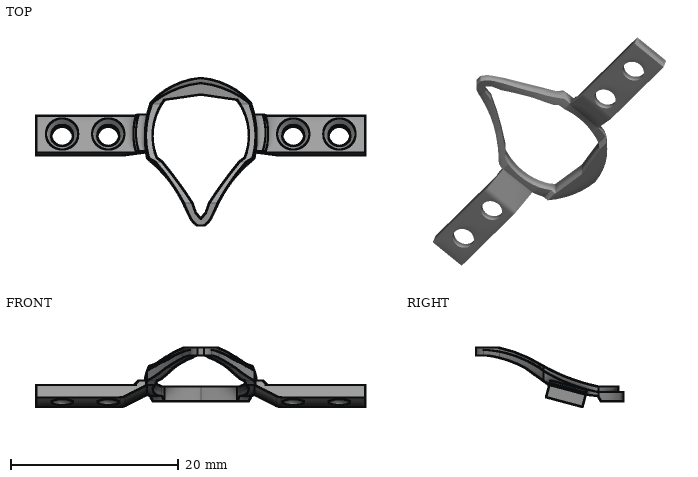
import cadquery as cq

LENGTH = 39.42
NOSE_Y = -17.7
TOP_Z = 7.15

BACK_CORNER_Y = -3.0
INNER_MID_Y = -6.7
WALL_MID_Y = -7.1
FRONT_CORNER_Y = -9.6
TAPER_END_Y = -14.85
OUTER_HALF_WIDTH = 6.7
INNER_HALF_WIDTH = 5.75
INSET_HALF_WIDTH = 6.55

BACK_BOTTOM_Z = 0.67
BACK_LEDGE_Z = 1.8
BACK_TOP_Z = 2.5
BACK_FLAT_Y = -3.15
NOSE_BOTTOM_Z = 6.15
NOSE_LEDGE_Z = 6.85
NOSE_LEDGE_Y = -17.03

ARM_TILT = 15.0
ARM_WIDTH = 4.55
ARM_THICKNESS = 1.55
ARM_BACK_Y = -4.93
ARM_ROOT_X = 6.1
ARM_BEND_X = 9.35
ARM_ROOT_RISE = 1.7
ARM_BEND_RADIUS = 1.2
ARM_MID_Y = -ARM_WIDTH / 2
PAD_HEIGHT = 0.55
PAD_RISER_HEIGHT = 0.25
PAD_BASE_RADIUS = 8.1
PAD_TOP_RADIUS = 7.75

HOLE_DIAMETER = 2.6
SINK_DIAMETER = 3.85
SINK_ANGLE = 90.0
HOLE_INNER_X = 11.08
HOLE_PITCH = 5.5
HOLES_PER_ARM = 2


def mirrored(half):
    """Union of a right-hand half and its mirror image."""
    return half.union(half.mirror("YZ"))


def half_plan(outline):
    """Right half of a plan outline, extruded to the full height of the part."""
    return outline.close().extrude(TOP_Z)


def nose_end(outline):
    """Outer outline around the blunt nose, shared by both tiers."""
    return outline.lineTo(1.25, -16.75).threePointArc((0.9, -17.25), (0.4, NOSE_Y)).lineTo(0, NOSE_Y)


def lower_tier_plan():
    """Full outer outline of the ring."""
    outline = (
        cq.Workplane("XY")
        .threePointArc((3.25, -0.9), (6.0, BACK_CORNER_Y))
        .threePointArc((OUTER_HALF_WIDTH, WALL_MID_Y), (6.43, FRONT_CORNER_Y))
        .threePointArc((4.0, -12.02), (2.15, TAPER_END_Y))
    )
    return mirrored(half_plan(nose_end(outline)))


def upper_tier_plan():
    """Outline set back from the lower tier, which leaves a ledge around the ring."""
    outline = (
        cq.Workplane("XY")
        .moveTo(0, -0.65)
        .threePointArc((3.25, -1.45), (5.8, BACK_CORNER_Y))
        .threePointArc((INSET_HALF_WIDTH, WALL_MID_Y), (6.2, FRONT_CORNER_Y))
        .lineTo(5.45, -10.05)
        .threePointArc((3.45, -12.6), (2.1, TAPER_END_Y))
    )
    return mirrored(half_plan(nose_end(outline)))


def opening():
    """Drop-shaped opening through the ring."""
    outline = (
        cq.Workplane("XY")
        .moveTo(0, -2.0)
        .lineTo(4.35, -2.65)
        .lineTo(4.7, -3.15)
        .threePointArc((INNER_HALF_WIDTH, INNER_MID_Y), (5.25, -9.58))
        .lineTo(4.7, -9.97)
        .threePointArc((2.8, -12.38), (1.0, -15.0))
        .lineTo(0.6, -16.15)
        .lineTo(0, -16.87)
    )
    return mirrored(half_plan(outline))


def close_along_underside(profile):
    """Close a side profile along the lower edge of the ring and extrude it across the part."""
    return (
        profile.lineTo(NOSE_Y, NOSE_BOTTOM_Z)
        .lineTo(-16.3, NOSE_BOTTOM_Z)
        .threePointArc((-14.0, 5.65), (-11.85, 4.75))
        .lineTo(-9.7, 3.2)
        .lineTo(-8.95, 2.65)
        .lineTo(-4.4, 1.45)
        .lineTo(-3.07, 1.3)
        .lineTo(-2.72, BACK_BOTTOM_Z)
        .lineTo(0, BACK_BOTTOM_Z)
        .close()
        .extrude(LENGTH / 2, both=True)
    )


def full_height_band():
    """S-curved side profile from the underside to the top of the ring."""
    profile = (
        cq.Workplane("YZ")
        .moveTo(0, BACK_BOTTOM_Z)
        .lineTo(0, BACK_TOP_Z)
        .lineTo(BACK_FLAT_Y, BACK_TOP_Z)
        .threePointArc((-6.5, 3.45), (-10.05, 5.15))
        .threePointArc((-12.22, 6.25), (-14.98, TOP_Z))
        .lineTo(NOSE_Y, TOP_Z)
    )
    return close_along_underside(profile)


def ledge_height_band():
    """S-curved side profile from the underside to the ledge; full height at the nose."""
    profile = (
        cq.Workplane("YZ")
        .moveTo(0, BACK_BOTTOM_Z)
        .lineTo(0, BACK_LEDGE_Z)
        .lineTo(BACK_FLAT_Y, BACK_LEDGE_Z)
        .threePointArc((-6.5, 2.8), (-9.45, 4.25))
        .threePointArc((-12.6, 6.0), (NOSE_LEDGE_Y, NOSE_LEDGE_Z))
        .lineTo(NOSE_LEDGE_Y, TOP_Z)
        .lineTo(NOSE_Y, TOP_Z)
    )
    return close_along_underside(profile)


def ring():
    """Two-tier ring that climbs from the back block to the nose."""
    lower = lower_tier_plan().intersect(ledge_height_band())
    upper = upper_tier_plan().intersect(full_height_band())
    return lower.union(upper).cut(opening())


def arm_envelope():
    """Level plate plus the round-edged pad that rises from it next to the ring."""
    plate = cq.Workplane("XY").box(LENGTH, 2 * ARM_WIDTH, ARM_THICKNESS, centered=(True, True, False))
    pad = (
        cq.Workplane("XZ", origin=(0, ARM_MID_Y, ARM_THICKNESS))
        .lineTo(PAD_BASE_RADIUS, 0)
        .lineTo(PAD_BASE_RADIUS, PAD_RISER_HEIGHT)
        .lineTo(PAD_TOP_RADIUS, PAD_HEIGHT)
        .lineTo(0, PAD_HEIGHT)
        .close()
        .revolve(360, (0, 0), (0, 1))
    )
    return plate.union(pad)


def arm():
    """Right-hand arm, modelled level and then tilted up toward the nose."""
    pad_top = ARM_THICKNESS + PAD_HEIGHT
    body = (
        cq.Workplane("XZ")
        .moveTo(LENGTH / 2, 0)
        .lineTo(ARM_BEND_X, 0)
        .lineTo(ARM_ROOT_X, ARM_ROOT_RISE)
        .lineTo(ARM_ROOT_X, pad_top)
        .lineTo(LENGTH / 2, pad_top)
        .close()
        .extrude(ARM_WIDTH)
    )
    bend_edge = cq.selectors.NearestToPointSelector((ARM_BEND_X, ARM_MID_Y, 0))
    body = body.edges(bend_edge).fillet(ARM_BEND_RADIUS)
    body = body.intersect(arm_envelope())

    hole_places = [(HOLE_INNER_X + i * HOLE_PITCH, ARM_MID_Y) for i in range(HOLES_PER_ARM)]
    body = (
        body.copyWorkplane(cq.Workplane("XY", origin=(0, 0, ARM_THICKNESS)))
        .pushPoints(hole_places)
        .cskHole(HOLE_DIAMETER, SINK_DIAMETER, SINK_ANGLE)
    )
    return body.rotate((0, 0, 0), (1, 0, 0), -ARM_TILT).translate((0, ARM_BACK_Y, 0))


result = ring().union(mirrored(arm()))